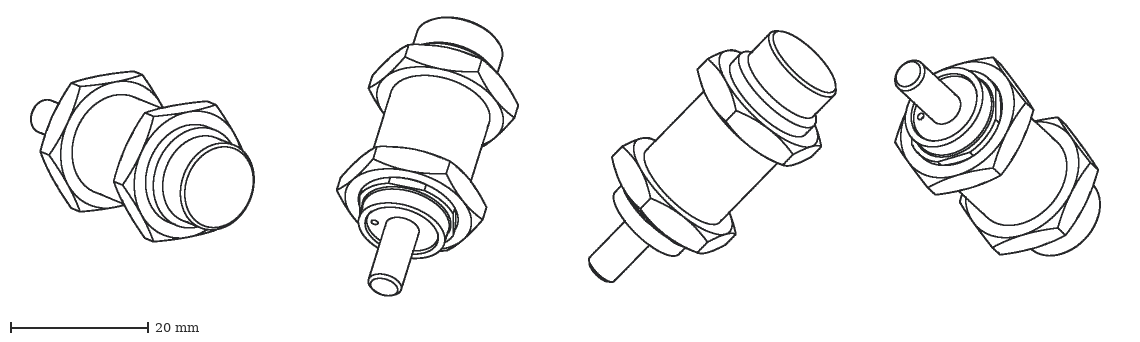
import cadquery as cq
import math

rod_tip = 0.0
collar_start = 10.5
flare_start = 13.1
flats_start = 13.38
front_nut_start = 14.45
rear_nut_start = 33.5
taper_start = 39.5
taper_end = 40.45
body_end = 45.5

rod_diameter = 5.0
rod_chamfer = 0.45
collar_diameter = 13.0
flare_diameter = 13.38
body_diameter = 15.0
flats_width = 14.0
end_chamfer = 0.45

nut_thickness = 4.0
nut_across_flats = 19.0
nut_across_corners = nut_across_flats / math.cos(math.radians(30))
nut_chamfer_angle = 30.0
nut_bore_diameter = 14.0
countersink_depth = (body_diameter - nut_bore_diameter) / 2

recess_diameter = 11.0
recess_floor_diameter = 10.75
recess_depth = 0.5
bleed_diameter = 1.0
bleed_offset = 4.2
bleed_depth = 1.0


def revolve_about_x(points):
    """Turn an (x, radius) profile around the X axis."""
    return cq.Workplane("XY").polyline(points).close().revolve(360, (0, 0, 0), (1, 0, 0))


def cylinder(start, end, diameter):
    return cq.Workplane("YZ", origin=(start, 0, 0)).circle(diameter / 2).extrude(end - start)


def make_nut(start):
    """Hexagonal nut with both ends chamfered and a countersunk front bore."""
    end = start + nut_thickness
    face_radius = nut_across_flats / 2
    corner_radius = nut_across_corners / 2
    chamfer = (corner_radius - face_radius) * math.tan(math.radians(nut_chamfer_angle))
    hexagon = (
        cq.Workplane("YZ", origin=(start, 0, 0))
        .polygon(6, nut_across_corners)
        .extrude(nut_thickness)
    )
    envelope = revolve_about_x([
        (start, 0),
        (start, face_radius),
        (start + chamfer, corner_radius),
        (end - chamfer, corner_radius),
        (end, face_radius),
        (end, 0),
    ])
    countersink = revolve_about_x([
        (start, 0),
        (start, body_diameter / 2),
        (start + countersink_depth, nut_bore_diameter / 2),
        (start + countersink_depth, 0),
    ])
    bore = cylinder(start, end, nut_bore_diameter)
    return hexagon.intersect(envelope).cut(countersink).cut(bore)


def make_body():
    """Turned body with a flared collar in front and a tapered, chamfered rear end."""
    collar_radius = collar_diameter / 2
    body_radius = body_diameter / 2
    return revolve_about_x([
        (collar_start, 0),
        (collar_start, collar_radius),
        (flare_start, collar_radius),
        (flats_start, flare_diameter / 2),
        (flats_start, body_radius),
        (taper_start, body_radius),
        (taper_end, collar_radius),
        (body_end - end_chamfer, collar_radius),
        (body_end, collar_radius - end_chamfer),
        (body_end, 0),
    ])


def cut_wrench_flats(body):
    """Cut four flats that run in under the countersink of the front nut."""
    length = front_nut_start + countersink_depth - flats_start
    blank = cylinder(flats_start, flats_start + length, body_diameter)
    square = (
        cq.Workplane("YZ", origin=(flats_start, 0, 0))
        .rect(flats_width, flats_width)
        .extrude(length)
    )
    return body.cut(blank.cut(square))


def cut_collar_face(body):
    """Cut the shallow tapered recess and the bleed hole in its floor."""
    floor = collar_start + recess_depth
    recess = revolve_about_x([
        (collar_start, 0),
        (collar_start, recess_diameter / 2),
        (floor, recess_floor_diameter / 2),
        (floor, 0),
    ])
    bleed = cylinder(floor, floor + bleed_depth, bleed_diameter).translate((0, bleed_offset, 0))
    return body.cut(recess).cut(bleed)


rod = cylinder(rod_tip, collar_start + recess_depth, rod_diameter).faces("<X").chamfer(rod_chamfer)
body = cut_collar_face(cut_wrench_flats(make_body()))
result = body.union(rod)
for nut_start in (front_nut_start, rear_nut_start):
    result = result.union(make_nut(nut_start))